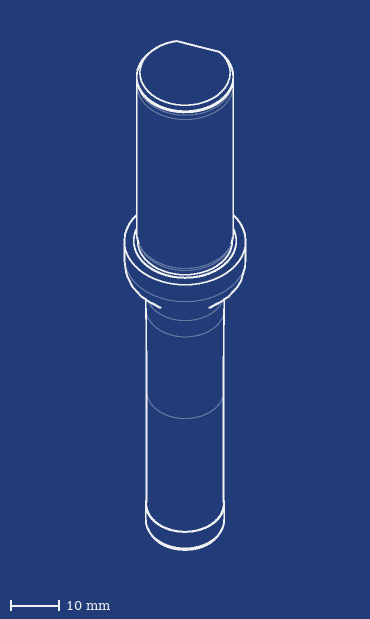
import cadquery as cq

total_length = 134.0
tip_height = 6.0
body_cylinder_top = 39.7
relief_top = 64.0
neck_top = 68.9
flare_top = 79.0
collar_top = 84.2

body_radius = 16.0 / 2
neck_radius = 16.2 / 2
tip_radius = neck_radius
collar_radius = 25.0 / 2
shank_radius = 20.0 / 2
groove_radius = 19.5 / 2

end_chamfer_height = 1.1
end_chamfer_width = 0.7
groove_top = 132.5
groove_bottom = 130.5
groove_taper = 1.1
undercut_top = 86.3
undercut_taper = 0.8

ring_radius = 10.6
ring_height = 0.1

flat_offset = 8.0
flat_bottom = 88.0
flat_runout_radius = 2.5

tip_corner_height = 1.2
tip_point_height = 0.3
tip_corner_inset = 0.4

flare_guide_points = [(8.8, 71.5), (11.5, 75.0)]


def revolve_about_z(profile):
    return profile.close().revolve(360, (0, 0, 0), (0, 1, 0))


def make_flat_cutter():
    """Block outside the flat, its lower inner edge rounded for the runout."""
    depth = 2 * shank_radius
    height = 2 * (total_length - flat_bottom)
    return (
        cq.Workplane("XY")
        .box(4 * shank_radius, depth, height, centered=(True, False, False))
        .translate((0, flat_offset, flat_bottom))
        .edges("<Y and <Z")
        .fillet(flat_runout_radius)
    )


def make_holder():
    profile = (
        cq.Workplane("XZ")
        .moveTo(0, tip_height)
        .lineTo(body_radius, tip_height)
        .lineTo(body_radius, body_cylinder_top)
        .lineTo(neck_radius, relief_top)
        .lineTo(neck_radius, neck_top)
        .spline(
            [*flare_guide_points, (collar_radius, flare_top)],
            tangents=[(0, 1), (0, 1)],
            includeCurrent=True,
        )
        .lineTo(collar_radius, collar_top - ring_height)
        .lineTo(ring_radius, collar_top - ring_height)
        .lineTo(ring_radius, collar_top)
        .lineTo(groove_radius, collar_top)
        .lineTo(groove_radius, undercut_top - undercut_taper)
        .lineTo(shank_radius, undercut_top)
        .lineTo(shank_radius, groove_bottom)
        .lineTo(groove_radius, groove_bottom + groove_taper)
        .lineTo(groove_radius, groove_top)
        .lineTo(shank_radius, groove_top)
        .lineTo(shank_radius, total_length - end_chamfer_height)
        .lineTo(shank_radius - end_chamfer_width, total_length)
        .lineTo(0, total_length)
    )
    return revolve_about_z(profile).cut(make_flat_cutter())


def make_cutting_tip():
    profile = (
        cq.Workplane("XZ")
        .lineTo(tip_radius - tip_corner_inset, tip_point_height)
        .lineTo(tip_radius, tip_corner_height)
        .lineTo(tip_radius, tip_height)
        .lineTo(0, tip_height)
    )
    return revolve_about_z(profile)


holder = make_holder()
cutting_tip = make_cutting_tip()
result = cq.Compound.makeCompound([holder.val(), cutting_tip.val()])